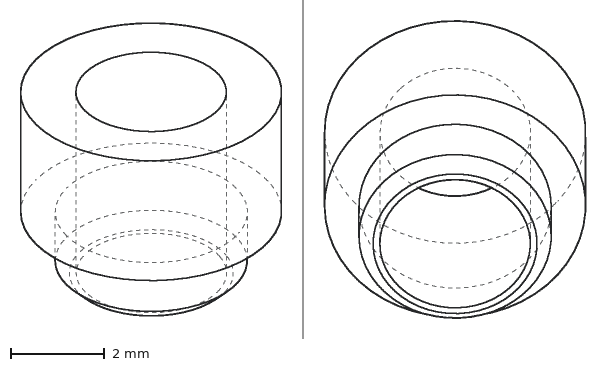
import cadquery as cq

head_diameter = 5.56
spigot_diameter = 4.09
bore_diameter = 3.2
total_height = 4.53
head_height = 3.0
spigot_height = total_height - head_height
lead_in_chamfer = 0.3

spigot = (
    cq.Workplane("XY")
    .circle(spigot_diameter / 2)
    .extrude(spigot_height)
    .faces("<Z")
    .chamfer(lead_in_chamfer)
)

head = (
    cq.Workplane("XY")
    .workplane(offset=spigot_height)
    .circle(head_diameter / 2)
    .extrude(head_height)
)

bore = cq.Workplane("XY").circle(bore_diameter / 2).extrude(total_height)

result = spigot.union(head).cut(bore)